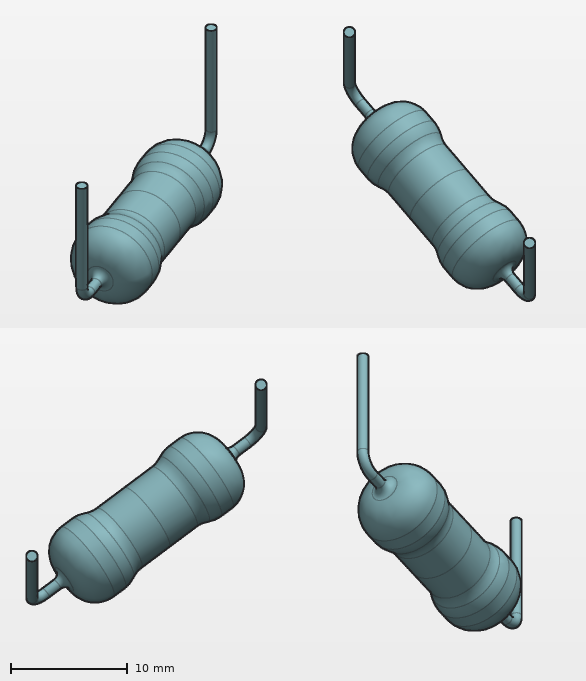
import cadquery as cq
import math

total_length = 26.0
total_height = 16.1
end_diameter = 7.5
waist_diameter = 6.4
lead_diameter = 1.0
body_length = 18.0
shoulder_outer = 5.23
shoulder_inner = 3.02
cap_radius = 2.5
lead_bend_radius = 1.5

end_radius = end_diameter / 2
waist_radius = waist_diameter / 2
lead_radius = lead_diameter / 2
body_end = body_length / 2
cap_inner_radius = end_radius - cap_radius
lead_flare_radius = cap_inner_radius - lead_radius
flare_end = body_end + lead_flare_radius
lead_y = total_length / 2 - lead_radius
bend_start = lead_y - lead_bend_radius
lead_top = total_height - end_radius
diagonal = math.sqrt(0.5)


def make_half_body():
    """Revolve the +Y half: waist, S-shaped shoulder, rounded cap and flare onto the lead."""
    shoulder_middle = (
        (waist_radius + end_radius) / 2,
        (shoulder_inner + shoulder_outer) / 2,
    )
    cap_start = body_end - cap_radius
    cap_middle = (
        cap_inner_radius + cap_radius * diagonal,
        cap_start + cap_radius * diagonal,
    )
    flare_middle = (
        cap_inner_radius - lead_flare_radius * diagonal,
        flare_end - lead_flare_radius * diagonal,
    )
    profile = (
        cq.Workplane("XY")
        .lineTo(waist_radius, 0)
        .lineTo(waist_radius, shoulder_inner)
        .tangentArcPoint(shoulder_middle, relative=False)
        .tangentArcPoint((end_radius, shoulder_outer), relative=False)
        .lineTo(end_radius, cap_start)
        .threePointArc(cap_middle, (cap_inner_radius, body_end))
        .threePointArc(flare_middle, (lead_radius, flare_end))
        .lineTo(0, flare_end)
        .close()
    )
    return profile.revolve(360, (0, 0, 0), (0, 1, 0))


def make_lead():
    """Sweep the +Y lead outward from its flare, around the bend and up."""
    bend_middle = (
        bend_start + lead_bend_radius * diagonal,
        lead_bend_radius * (1 - diagonal),
    )
    path = (
        cq.Workplane("YZ")
        .moveTo(flare_end, 0)
        .lineTo(bend_start, 0)
        .threePointArc(bend_middle, (lead_y, lead_bend_radius))
        .lineTo(lead_y, lead_top)
    )
    section = cq.Workplane("XZ", origin=(0, flare_end, 0)).circle(lead_radius)
    return section.sweep(path)


half = make_half_body().union(make_lead())
result = half.union(half.mirror("XZ"))